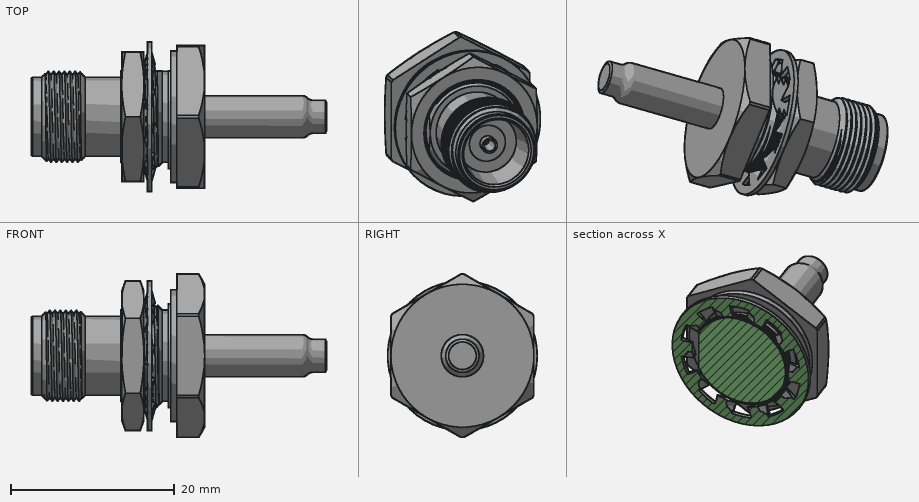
import cadquery as cq
import math

total_length = 36.12

barrel_radius = 4.85
rim_chamfer = 0.15
mouth_radius = 4.35
throat_radius = 4.1
throat_x = 0.25
floor_radius = 3.65
floor_x = 4.6

pitch = 0.655
groove_depth = 0.42
spiral_steps = 8
cut_margin = 0.1
front_thread_radius = 5.56
front_thread_start = 1.25
front_thread_end = 6.58
front_crest_x = 2.07
rear_thread_radius = 6.35
rear_thread_start = 10.93
rear_thread_end = 16.03
rear_crest_x = 15.45
flat_height = 5.62

relief_radius = 5.6
collar_x = 16.73
flange_radius = 8.08
flange_x = 17.05
hex_x = 17.8
hex_end_x = 21.2
hex_across_flats = 17.5
hex_corner_radius = 10.005

tube_radius = 2.59
tip_radius = 2.04
neck_start_x = 33.13
neck_length = 1.3
neck_angle = 38
neck_arc_radius = 0.88
tip_chamfer_length = 0.15
tip_chamfer_depth = 0.35

insulator_radius = 2.27
insulator_end_x = 12.0
contact_x = 3.4
contact_radius = 0.94
contact_hole_radius = 0.7
contact_hole_depth = 3.0

nut_x = 11.06
nut_end_x = 13.76
nut_across_flats = 15.88
nut_chamfer_angle = 20
hex_chamfer_angle = 30
countersink_radius = 6.37

washer_x = 14.2
washer_thickness = 0.54
washer_radius = 9.17
rim_inner_radius = 8.0
tooth_root_radius = rim_inner_radius - 0.1
tooth_root_embed = 0.3
tooth_tip_radius = 6.4
tooth_count = 10
tooth_width = 2.5
tooth_twist = -20
tooth_phase = 17


def turned(points):
    """Solid of revolution about X from a closed (x, radius) outline."""
    return cq.Workplane("XY").polyline(points).close().revolve(360, (0, 0), (1, 0))


def disc(x_start, x_end, radius):
    return cq.Workplane("YZ").workplane(offset=x_start).circle(radius).extrude(x_end - x_start)


def hexagon(x_start, x_end, across_flats):
    """Hexagonal prism along X with corners on the Z axis."""
    corner_diameter = across_flats / math.cos(math.pi / 6)
    blank = cq.Workplane("YZ").workplane(offset=x_start).polygon(6, corner_diameter).extrude(x_end - x_start)
    return blank.rotate((0, 0, 0), (1, 0, 0), 90)


def screw(x_start, x_end, radius, crest_x):
    """Right-handed sharp V screw with flat ends; its crest crosses +Y at crest_x.

    A cut square to the axis always shows the same cam, a spiral down to the root and
    its mirror image back up. Twisting that cam along X makes the thread.
    """
    phase = 2 * math.pi * (x_start - crest_x) / pitch

    def cam_point(share):
        r = radius - groove_depth * (1 - abs(1 - 2 * share))
        angle = phase + 2 * math.pi * share
        return r * math.cos(angle), r * math.sin(angle)

    shares = [step / (2 * spiral_steps) for step in range(2 * spiral_steps)]
    spiral_down = [cam_point(share) for share in shares[1:spiral_steps + 1]]
    spiral_up = [cam_point(share) for share in shares[spiral_steps + 1:] + [0]]
    cam = (
        cq.Workplane("YZ", origin=(x_start, 0, 0)).moveTo(*cam_point(0))
        .spline(spiral_down, includeCurrent=True)
        .spline(spiral_up, includeCurrent=True)
        .close()
    )
    length = x_end - x_start
    return cam.twistExtrude(length, 360 * length / pitch)


def threaded_rod(x_start, x_end, radius, end_radius, crest_x):
    """Screw whose ends are turned to 45-degree cones down to end_radius."""
    outside = radius + cut_margin
    cone_length = outside - end_radius
    envelope = turned([
        (x_start, 0), (x_start, end_radius), (x_start + cone_length, outside),
        (x_end - cone_length, outside), (x_end, end_radius), (x_end, 0),
    ])
    return screw(x_start - cut_margin, x_end + cut_margin, radius, crest_x).intersect(envelope)


def make_tube():
    """Rear tube narrowing to its tip through an S-shaped neck."""
    angle = math.radians(neck_angle)
    half = angle / 2
    arc_length = neck_arc_radius * math.sin(angle)
    arc_drop = neck_arc_radius * (1 - math.cos(angle))
    mid_length = neck_arc_radius * math.sin(half)
    mid_drop = neck_arc_radius * (1 - math.cos(half))
    neck_end_x = neck_start_x + neck_length
    return (
        cq.Workplane("XY").moveTo(hex_x, 0).lineTo(hex_x, tube_radius).lineTo(neck_start_x, tube_radius)
        .threePointArc((neck_start_x + mid_length, tube_radius - mid_drop),
                       (neck_start_x + arc_length, tube_radius - arc_drop))
        .lineTo(neck_end_x - arc_length, tip_radius + arc_drop)
        .threePointArc((neck_end_x - mid_length, tip_radius + mid_drop), (neck_end_x, tip_radius))
        .lineTo(total_length - tip_chamfer_length, tip_radius)
        .lineTo(total_length, tip_radius - tip_chamfer_depth)
        .lineTo(total_length, 0).close().revolve(360, (0, 0), (1, 0))
    )


def make_housing_hex():
    """Hexagon with turned corners and a cone chamfer on the tube side."""
    face_radius = hex_across_flats / 2
    chamfer = (hex_corner_radius - face_radius) * math.tan(math.radians(hex_chamfer_angle))
    envelope = turned([
        (hex_x, 0), (hex_x, hex_corner_radius), (hex_end_x - chamfer, hex_corner_radius),
        (hex_end_x, face_radius), (hex_end_x, 0),
    ])
    return hexagon(hex_x, hex_end_x, hex_across_flats).intersect(envelope)


def make_housing():
    barrel = turned([
        (0, 0), (0, barrel_radius - rim_chamfer), (rim_chamfer, barrel_radius),
        (rear_thread_start, barrel_radius), (rear_thread_start, 0),
    ])
    front_thread = threaded_rod(
        front_thread_start, front_thread_end, front_thread_radius, barrel_radius, front_crest_x)
    rear = threaded_rod(
        rear_thread_start, rear_thread_end, rear_thread_radius, relief_radius, rear_crest_x)
    rear = rear.union(disc(rear_thread_end, collar_x, relief_radius))
    rear = rear.union(disc(collar_x, flange_x, rear_thread_radius))
    above_flat = cq.Workplane("XY").box(
        total_length, rear_thread_radius, 2 * flange_radius, centered=(False, False, True)
    ).translate((0, flat_height, 0))
    rear = rear.cut(above_flat)
    housing = barrel.union(front_thread).union(rear)
    housing = housing.union(disc(flange_x, hex_x, flange_radius))
    housing = housing.union(make_housing_hex()).union(make_tube())
    cavity = turned([
        (0, 0), (0, mouth_radius), (throat_x, throat_radius), (floor_x, floor_radius), (floor_x, 0),
    ])
    return housing.cut(cavity).cut(disc(floor_x, insulator_end_x, insulator_radius))


def make_insulator():
    return disc(floor_x, insulator_end_x, insulator_radius).cut(
        disc(floor_x, insulator_end_x, contact_radius))


def make_contact():
    return disc(contact_x, insulator_end_x, contact_radius).cut(
        disc(contact_x, contact_x + contact_hole_depth, contact_hole_radius))


def make_nut():
    """Hexagon nut chamfered on both faces, its bore matching the rear thread."""
    face_radius = nut_across_flats / 2
    corner_radius = face_radius / math.cos(math.pi / 6)
    chamfer = (corner_radius - face_radius) * math.tan(math.radians(nut_chamfer_angle))
    envelope = turned([
        (nut_x, 0), (nut_x, face_radius), (nut_x + chamfer, corner_radius),
        (nut_end_x - chamfer, corner_radius), (nut_end_x, face_radius), (nut_end_x, 0),
    ])
    nut = hexagon(nut_x, nut_end_x, nut_across_flats).intersect(envelope)
    countersink = turned([(nut_x, 0), (nut_x, countersink_radius), (nut_x + countersink_radius, 0)])
    tap = screw(nut_x - cut_margin, nut_end_x + cut_margin, rear_thread_radius, rear_crest_x)
    return nut.cut(tap).cut(countersink)


def make_tooth():
    """One tooth pointing from the rim to the axis, twisting progressively towards its tip."""
    mid_x = washer_x + washer_thickness / 2
    twist_length = tooth_root_radius - tooth_tip_radius
    root = cq.Workplane("XY", origin=(mid_x, 0, tooth_root_radius))
    shank = root.rect(washer_thickness, tooth_width).extrude(tooth_root_embed)
    root_wire = root.rect(washer_thickness, tooth_width).wires().val()
    tip = root.transformed(offset=(0, 0, -twist_length), rotate=(0, 0, tooth_twist))
    tip_wire = tip.rect(washer_thickness, tooth_width).wires().val()
    blade = cq.Solid.makeLoft([tip_wire, root_wire], True)
    return shank.union(cq.Workplane(obj=blade))


def make_washer():
    washer = disc(washer_x, washer_x + washer_thickness, washer_radius).cut(
        disc(washer_x, washer_x + washer_thickness, rim_inner_radius))
    tooth = make_tooth()
    for index in range(tooth_count):
        washer = washer.union(tooth.rotate((0, 0, 0), (1, 0, 0), tooth_phase + index * 360 / tooth_count))
    return washer


housing = make_housing()
insulator = make_insulator()
contact = make_contact()
nut = make_nut()
washer = make_washer()

result = cq.Compound.makeCompound([
    housing.val(), insulator.val(), contact.val(), nut.val(), washer.val(),
])